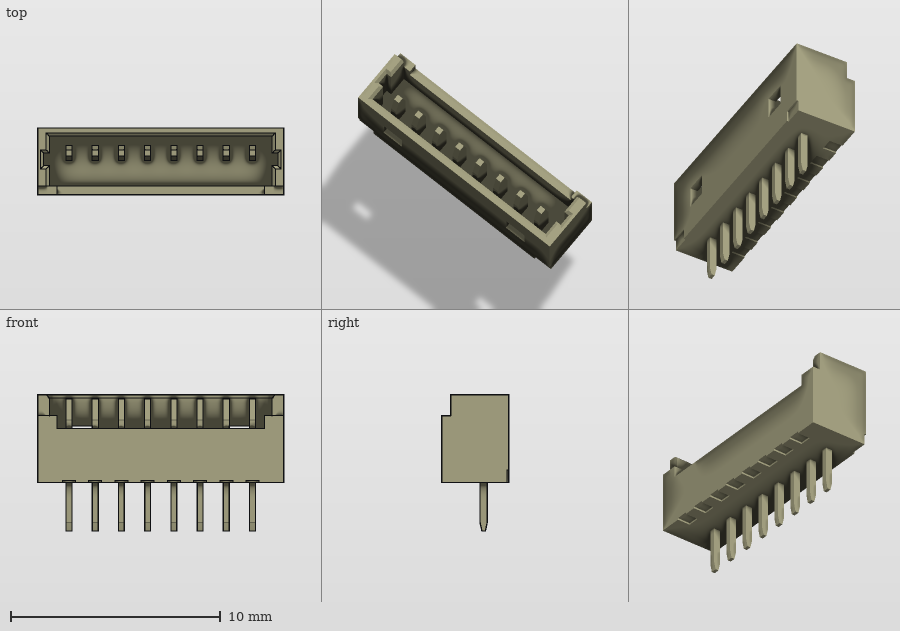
import cadquery as cq


length = 11.75
depth = 3.2
height = 4.2
front_wall = 0.42
back_wall = 0.4
end_wall = 0.56
floor_thickness = 1.08
mouth_chamfer = 0.15

slot_end_wall = 0.29
slot_width = 0.6
slot_to_back = 1.5
slot_centre_y = depth - slot_to_back

shoulder_height = 3.2
shoulder_length = 0.93
sill_height = 2.6

window_width = 1.13
window_bottom = 1.55
window_top = 2.7

relief_width = 0.62
relief_height = 0.09
relief_depth = 0.7
corner_relief_height = 0.6
corner_relief_depth = 0.09
corner_relief_length = shoulder_length

pin_count = 8
pin_row_span = 8.75
pin_pitch = pin_row_span / (pin_count - 1)
pin_width = 0.29
pin_to_back = 1.2
pin_y = depth - pin_to_back
blade_depth = 0.73
blade_tip_depth = 0.29
blade_top = 4.0
blade_shoulder = 3.0
tail_depth = 0.35
tail_tip_depth = 0.18
tail_length = 2.3
tail_tip_length = 0.4

pin_positions = [-pin_row_span / 2 + i * pin_pitch for i in range(pin_count)]


def box(x_range, y_range, z_range):
    """Axis-aligned block between the given limits."""
    x0, x1 = x_range
    y0, y1 = y_range
    z0, z1 = z_range
    return cq.Workplane("XY").box(x1 - x0, y1 - y0, z1 - z0, centered=False).translate((x0, y0, z0))


def flared_pocket(x_half, y_range):
    """Pocket volume from the floor to the rim, widened at 45 degrees just below the rim."""
    y0, y1 = y_range
    pocket = box((-x_half, x_half), y_range, (floor_thickness, height))
    flare = (
        cq.Workplane("XY", origin=(0, (y0 + y1) / 2, height - mouth_chamfer))
        .rect(2 * x_half, y1 - y0)
        .workplane(offset=mouth_chamfer)
        .rect(2 * (x_half + mouth_chamfer), y1 - y0 + 2 * mouth_chamfer)
        .loft(ruled=True)
    )
    return pocket.union(flare)


def make_housing():
    half = length / 2
    housing = box((-half, half), (0, depth), (0, height))

    housing = housing.cut(flared_pocket(half - end_wall, (front_wall, depth - back_wall)))
    slot_y = (slot_centre_y - slot_width / 2, slot_centre_y + slot_width / 2)
    housing = housing.cut(flared_pocket(half - slot_end_wall, slot_y))

    housing = housing.cut(box((-half, half), (0, front_wall), (shoulder_height, height)))
    sill_half = half - shoulder_length
    housing = housing.cut(box((-sill_half, sill_half), (0, front_wall), (sill_height, height)))

    window_x = (pin_positions[-1] + pin_positions[-2]) / 2
    for x in (-window_x, window_x):
        x_range = (x - window_width / 2, x + window_width / 2)
        housing = housing.cut(box(x_range, (depth - back_wall, depth), (window_bottom, window_top)))

    corner_y = (depth - corner_relief_depth, depth)
    relief_start = half - corner_relief_length
    for x_range in ((-half, -relief_start), (relief_start, half)):
        housing = housing.cut(box(x_range, corner_y, (0, corner_relief_height)))

    for x in pin_positions:
        relief_x = (x - relief_width / 2, x + relief_width / 2)
        housing = housing.cut(box(relief_x, (0, relief_depth), (0, relief_height)))
        hole_x = (x - pin_width / 2, x + pin_width / 2)
        hole_y = (pin_y - tail_depth / 2, pin_y + tail_depth / 2)
        housing = housing.cut(box(hole_x, hole_y, (0, floor_thickness)))
    return housing


def make_pin(x):
    """Flat pin: a wide blade standing on the cavity floor above a narrow tail, both with tapered tips."""
    half_profile = [
        (tail_tip_depth / 2, -tail_length),
        (tail_depth / 2, tail_tip_length - tail_length),
        (tail_depth / 2, floor_thickness),
        (blade_depth / 2, floor_thickness),
        (blade_depth / 2, blade_shoulder),
        (blade_tip_depth / 2, blade_top),
    ]
    mirrored = [(-y, z) for y, z in reversed(half_profile)]
    return (
        cq.Workplane("YZ", origin=(x, pin_y, 0))
        .polyline(half_profile + mirrored)
        .close()
        .extrude(pin_width / 2, both=True)
    )


housing = make_housing()
pins = [make_pin(x) for x in pin_positions]

result = cq.Compound.makeCompound([housing.val(), *[pin.val() for pin in pins]])